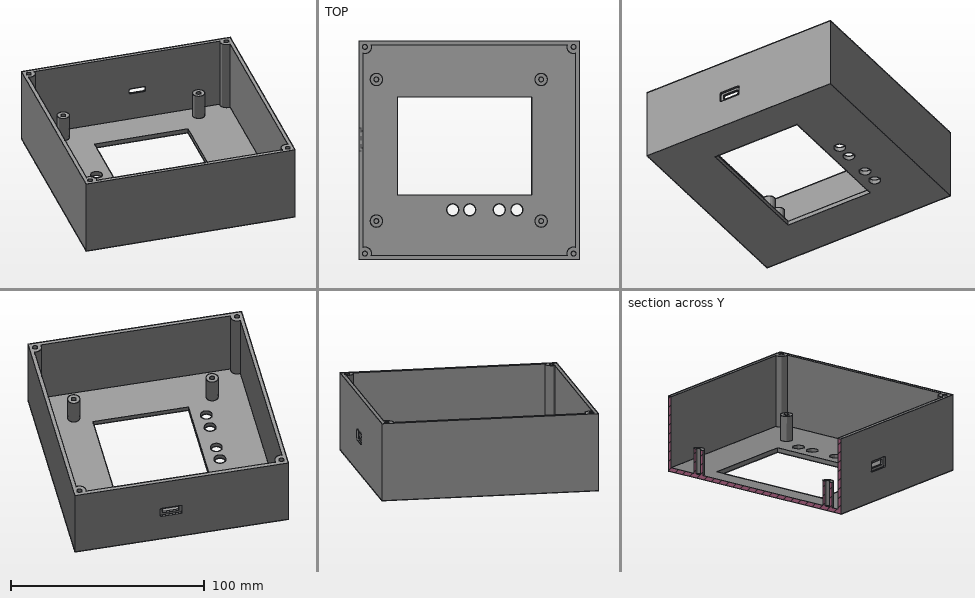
import cadquery as cq

length_x = 114.0
length_y = 113.0
height = 41.0
wall = 2.0
floor = 2.5

screw_hole_diameter = 2.5
post_diameter = 6.8
standoff_diameter = 6.4
post_inset = 3.1
standoff_height = 13.6
standoff_left_x = -48.0
standoff_right_x = 37.2
standoff_y = 36.6

window_left = -37.0
window_right = 32.3
window_bottom = -23.0
window_top = 27.5

button_diameter = 6.0
button_xs = (-8.5, 0.2, 15.5, 24.6)
button_y = -30.8

connector_y = 5.6
connector_z = 19.3
recess_width = 11.7
recess_height = 5.8
recess_corner_radius = 1.0
recess_depth = 1.0
slot_width = 8.9
slot_height = 3.0
slot_corner_radius = 0.9


def cylinders(points, diameter, bottom, top):
    """Upright cylinders at the given XY points."""
    return (
        cq.Workplane("XY", origin=(0, 0, bottom))
        .pushPoints(points)
        .circle(diameter / 2)
        .extrude(top - bottom)
    )


def connector_cut(width, opening_height, radius, depth):
    """Rounded rectangular cut reaching inward from the -X face."""
    return (
        cq.Workplane("XY")
        .box(depth, width, opening_height, centered=(False, True, True))
        .edges("|X")
        .fillet(radius)
        .translate((-length_x / 2, connector_y, connector_z))
    )


outer = cq.Workplane("XY").box(length_x, length_y, height, centered=(True, True, False))
cavity = (
    cq.Workplane("XY", origin=(0, 0, floor))
    .rect(length_x - 2 * wall, length_y - 2 * wall)
    .extrude(height - floor)
)
shell = outer.cut(cavity)

post_x = length_x / 2 - post_inset
post_y = length_y / 2 - post_inset
post_points = [(x, y) for x in (-post_x, post_x) for y in (-post_y, post_y)]
posts = cylinders(post_points, post_diameter, 0, height).intersect(outer)

standoff_top = floor + standoff_height
standoff_points = [(x, y) for x in (standoff_left_x, standoff_right_x) for y in (-standoff_y, standoff_y)]
standoffs = cylinders(standoff_points, standoff_diameter, 0, standoff_top)

post_holes = cylinders(post_points, screw_hole_diameter, floor, height)
standoff_holes = cylinders(standoff_points, screw_hole_diameter, floor, standoff_top)

window = cq.Workplane("XY").box(
    window_right - window_left, window_top - window_bottom, floor, centered=False
).translate((window_left, window_bottom, 0))
buttons = cylinders([(x, button_y) for x in button_xs], button_diameter, 0, floor)

recess = connector_cut(recess_width, recess_height, recess_corner_radius, recess_depth)
slot = connector_cut(slot_width, slot_height, slot_corner_radius, wall)

result = shell.union(posts).union(standoffs)
for opening in (post_holes, standoff_holes, window, buttons, recess, slot):
    result = result.cut(opening)